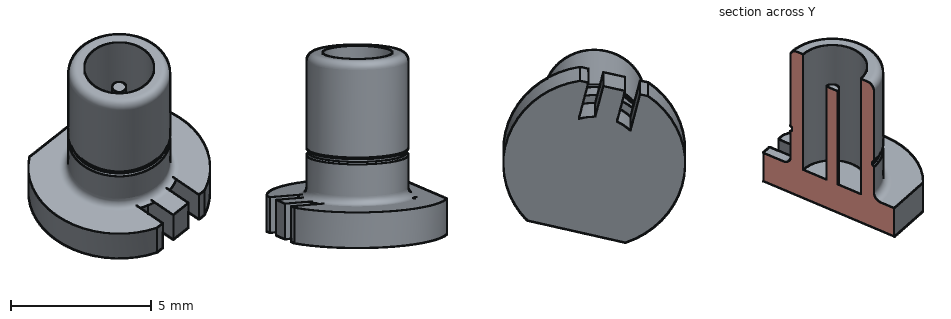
import cadquery as cq

flange_diameter = 6.5
flange_height = 1.3
flat_left_x = -2.7
flat_right_x = 3.0

total_height = 6.5
barrel_radius = 1.825
edge_radius = 0.3
foot_radius = barrel_radius + edge_radius

groove_center_z = 2.9
groove_width = 0.25
groove_depth = 0.075
groove_bottom = groove_center_z - groove_width / 2
groove_top = groove_center_z + groove_width / 2

bore_diameter = 2.5
bore_floor = flange_height
pin_diameter = 0.5
pin_recess = 1.0

tongue_width = 0.8
slot_outer_span = 1.9
slot_width = (slot_outer_span - tongue_width) / 2
slot_center_y = (slot_outer_span + tongue_width) / 4


def make_flange():
    disc = cq.Workplane("XY").circle(flange_diameter / 2).extrude(flange_height)
    trim = (
        cq.Workplane("XY")
        .center((flat_left_x + flat_right_x) / 2, 0)
        .rect(flat_right_x - flat_left_x, flange_diameter)
        .extrude(flange_height)
    )
    return disc.intersect(trim)


def make_slots():
    """Slots open at the right flat; the slots end at the barrel wall, under its foot."""
    slots = (
        cq.Workplane("XY")
        .pushPoints([(flat_right_x / 2, side * slot_center_y) for side in (-1, 1)])
        .rect(flat_right_x, slot_width)
        .extrude(flange_height)
    )
    core = cq.Workplane("XY").circle(barrel_radius).extrude(flange_height)
    return slots.cut(core)


def make_barrel():
    """Revolve the half section with its foot, groove and rounded rim."""
    arc_inset = edge_radius * (1 - 0.5 ** 0.5)
    groove_radius = barrel_radius - groove_depth
    profile = (
        cq.Workplane("XZ")
        .moveTo(0, flange_height)
        .lineTo(foot_radius, flange_height)
        .threePointArc(
            (barrel_radius + arc_inset, flange_height + arc_inset),
            (barrel_radius, flange_height + edge_radius),
        )
        .lineTo(barrel_radius, groove_bottom)
        .lineTo(groove_radius, groove_bottom + groove_depth)
        .lineTo(groove_radius, groove_top - groove_depth)
        .lineTo(barrel_radius, groove_top)
        .lineTo(barrel_radius, total_height - edge_radius)
        .threePointArc(
            (barrel_radius - arc_inset, total_height - arc_inset),
            (barrel_radius - edge_radius, total_height),
        )
        .lineTo(0, total_height)
        .close()
    )
    return profile.revolve(360, (0, 0, 0), (0, 1, 0))


def make_cylinder(diameter, bottom, top):
    return cq.Workplane("XY").workplane(offset=bottom).circle(diameter / 2).extrude(top - bottom)


bore = make_cylinder(bore_diameter, bore_floor, total_height)
pin = make_cylinder(pin_diameter, bore_floor, total_height - pin_recess)

flange = make_flange().cut(make_slots())
result = flange.union(make_barrel()).cut(bore).union(pin)